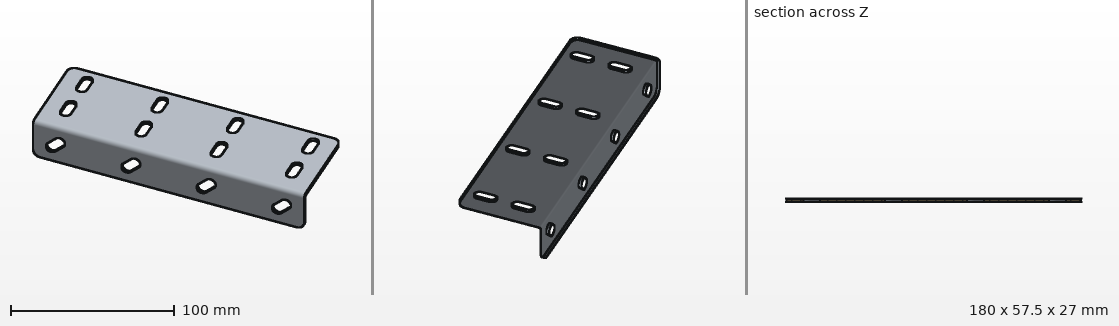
import cadquery as cq

length = 180.0
depth = 57.5
height = 27.0

thickness = 2.0
inner_bend_radius = 1.0
outer_bend_radius = inner_bend_radius + thickness
corner_radius = 5.0

slot_width = 7.0
slot_columns = 4
slot_pitch = 50.0

top_slot_length = 15.0
top_slot_angle = 90.0
top_slot_rows = 2
top_row_pitch = 25.0
top_edge_to_row = 12.5

front_slot_length = 15.0
front_slot_angle = 45.0
front_edge_to_slot = 13.0

column_positions = [(i - (slot_columns - 1) / 2) * slot_pitch for i in range(slot_columns)]


def make_bent_sheet():
    """L-shaped sheet with a rounded bend, extruded along X."""
    sheet = (
        cq.Workplane("YZ")
        .moveTo(0, 0)
        .lineTo(0, height - outer_bend_radius)
        .radiusArc((outer_bend_radius, height), outer_bend_radius)
        .lineTo(depth, height)
        .lineTo(depth, height - thickness)
        .lineTo(outer_bend_radius, height - thickness)
        .radiusArc((thickness, height - outer_bend_radius), -inner_bend_radius)
        .lineTo(thickness, 0)
        .close()
        .extrude(length / 2, both=True)
    )
    return sheet


def round_free_corners(sheet):
    """Round the two outer corners of each flange."""
    rounded = sheet.faces(">Y").edges("|Z").fillet(corner_radius)
    return rounded.faces("<Z").edges("|Y").fillet(corner_radius)


def make_top_slots():
    """Rows of slots through the top flange, long side along Y."""
    points = [
        (x, depth - top_edge_to_row - row * top_row_pitch)
        for x in column_positions
        for row in range(top_slot_rows)
    ]
    return (
        cq.Workplane("XY", origin=(0, 0, height - thickness))
        .pushPoints(points)
        .slot2D(top_slot_length, slot_width, top_slot_angle)
        .extrude(thickness)
    )


def make_front_slots():
    """Row of slots through the front flange, rising towards +X."""
    points = [(x, front_edge_to_slot) for x in column_positions]
    return (
        cq.Workplane("XZ")
        .pushPoints(points)
        .slot2D(front_slot_length, slot_width, front_slot_angle)
        .extrude(-thickness)
    )


bracket = round_free_corners(make_bent_sheet())
result = bracket.cut(make_top_slots()).cut(make_front_slots())